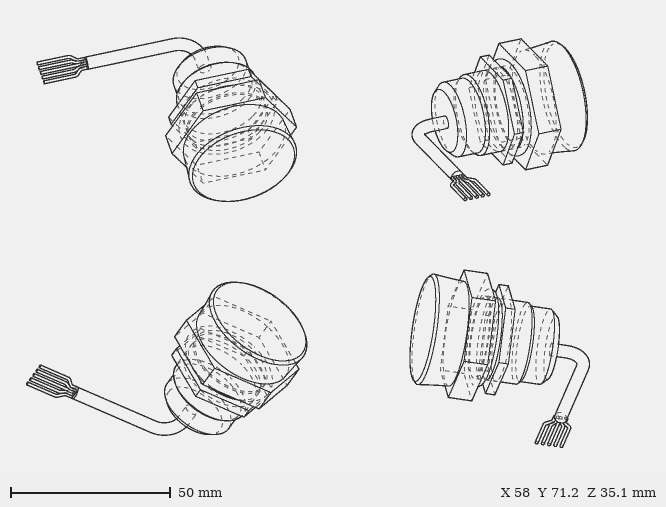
import cadquery as cq
import math


SHANK_RADIUS = 13.0
HEX_FLATS = 35.05
HEX_LENGTH = 7.6
HEX_REAR_X = 23.2
HEX_FRONT_X = HEX_REAR_X + HEX_LENGTH
FLARE_BASE_RADIUS = 16.6
FLARE_RIM_RADIUS = HEX_FLATS / 2
FLARE_LENGTH = 9.8
FLARE_HOLLOW = 0.1
RIM_CHAMFER = 0.9

SLEEVE_RADIUS = 12.0
SLEEVE_LENGTH = 8.6
SLEEVE_CHAMFER_LENGTH = 2.15
SLEEVE_FACE_RADIUS = 10.05
SHANK_CHAMFER = SHANK_RADIUS - SLEEVE_RADIUS

NUT_FLATS = 30.0
NUT_THICKNESS = 3.05
NUT_REAR_X = 16.2
RING_THICKNESS = 2.5

CABLE_RADIUS = 2.0
CABLE_OFFSET_Y = -1.0
CABLE_STRAIGHT = 5.0
CABLE_BEND_RADIUS = 7.0
CABLE_END_Y = -36.1

WIRE_RADIUS = 0.5
WIRE_COUNT = 5
WIRE_START_PITCH = 0.9
WIRE_END_PITCH = 2.0
WIRE_END_Y = -51.0
FAN_START = 2.4
FAN_LENGTH = 2.0
WIRE_BEND_RADIUS = 1.0


def hexagon(rear_x, length, flats):
    """Hexagonal prism along X with its corners on the Y axis."""
    corners = flats / math.cos(math.pi / 6)
    return cq.Workplane("YZ", origin=(rear_x, 0, 0)).polygon(6, corners).extrude(length)


def turned(profile):
    """Solid of revolution about X from a closed profile in the XZ plane."""
    return profile.close().revolve(360, (0, 0, 0), (1, 0, 0))


def make_housing():
    shank = turned(
        cq.Workplane("XZ")
        .moveTo(SLEEVE_LENGTH, 0)
        .lineTo(SLEEVE_LENGTH, SLEEVE_RADIUS)
        .lineTo(SLEEVE_LENGTH + SHANK_CHAMFER, SHANK_RADIUS)
        .lineTo(HEX_REAR_X, SHANK_RADIUS)
        .lineTo(HEX_REAR_X, 0)
    )
    rim_x = HEX_FRONT_X + FLARE_LENGTH
    front_x = rim_x + RIM_CHAMFER
    flare_middle = (
        HEX_FRONT_X + FLARE_LENGTH / 2,
        (FLARE_BASE_RADIUS + FLARE_RIM_RADIUS) / 2 - FLARE_HOLLOW,
    )
    flare = turned(
        cq.Workplane("XZ")
        .moveTo(HEX_FRONT_X, 0)
        .lineTo(HEX_FRONT_X, FLARE_BASE_RADIUS)
        .threePointArc(flare_middle, (rim_x, FLARE_RIM_RADIUS))
        .lineTo(front_x, FLARE_RIM_RADIUS - RIM_CHAMFER)
        .lineTo(front_x, 0)
    )
    return hexagon(HEX_REAR_X, HEX_LENGTH, HEX_FLATS).union(shank).union(flare)


def make_sleeve():
    return turned(
        cq.Workplane("XZ")
        .lineTo(0, SLEEVE_FACE_RADIUS)
        .lineTo(SLEEVE_CHAMFER_LENGTH, SLEEVE_RADIUS)
        .lineTo(SLEEVE_LENGTH, SLEEVE_RADIUS)
        .lineTo(SLEEVE_LENGTH, 0)
    )


def make_nut():
    nut = hexagon(NUT_REAR_X, NUT_THICKNESS, NUT_FLATS)
    return nut.faces("<X").workplane(origin=(NUT_REAR_X, 0, 0)).circle(SHANK_RADIUS).cutThruAll()


def make_sealing_ring():
    """Round-section ring seated on the shank and against the hexagon."""
    section_radius = RING_THICKNESS / 2
    return cq.Workplane(
        cq.Solid.makeTorus(
            SHANK_RADIUS + section_radius,
            section_radius,
            cq.Vector(HEX_REAR_X - section_radius, 0, 0),
            cq.Vector(1, 0, 0),
        )
    )


def make_wire(index, cable_x):
    """One wire; index 0 is the straight middle wire, the others step sideways in X."""
    start_x = cable_x + index * WIRE_START_PITCH
    end_x = cable_x + index * WIRE_END_PITCH
    section = cq.Workplane("XZ", origin=(start_x, CABLE_END_Y, 0)).circle(WIRE_RADIUS)
    if index == 0:
        return section.extrude(CABLE_END_Y - WIRE_END_Y)

    side = math.copysign(1, index)
    kink_y = CABLE_END_Y - FAN_START
    slant = math.atan2(abs(end_x - start_x), FAN_LENGTH)
    tangent = WIRE_BEND_RADIUS * math.tan(slant / 2)
    tangent_x = side * tangent * math.sin(slant)
    tangent_y = tangent * math.cos(slant)
    path = (
        cq.Workplane("XY")
        .moveTo(start_x, CABLE_END_Y)
        .lineTo(start_x, kink_y + tangent)
        .tangentArcPoint((start_x + tangent_x, kink_y - tangent_y), relative=False)
        .lineTo(end_x - tangent_x, kink_y - FAN_LENGTH + tangent_y)
        .tangentArcPoint((end_x, kink_y - FAN_LENGTH - tangent), relative=False)
        .lineTo(end_x, WIRE_END_Y)
    )
    return section.sweep(path)


def make_cable():
    """Sheathed cable with one quarter bend, carrying its bared wires."""
    cable_x = -CABLE_STRAIGHT - CABLE_BEND_RADIUS
    path = (
        cq.Workplane("XY")
        .moveTo(0, CABLE_OFFSET_Y)
        .lineTo(-CABLE_STRAIGHT, CABLE_OFFSET_Y)
        .tangentArcPoint((cable_x, CABLE_OFFSET_Y - CABLE_BEND_RADIUS), relative=False)
        .lineTo(cable_x, CABLE_END_Y)
    )
    cable = cq.Workplane("YZ", origin=(0, CABLE_OFFSET_Y, 0)).circle(CABLE_RADIUS).sweep(path)
    outermost = WIRE_COUNT // 2
    for index in range(-outermost, outermost + 1):
        cable = cable.union(make_wire(index, cable_x))
    return cable


housing = make_housing()
sleeve = make_sleeve()
nut = make_nut()
sealing_ring = make_sealing_ring()
cable = make_cable()

result = cq.Compound.makeCompound(
    [housing.val(), sleeve.val(), nut.val(), sealing_ring.val(), cable.val()]
)